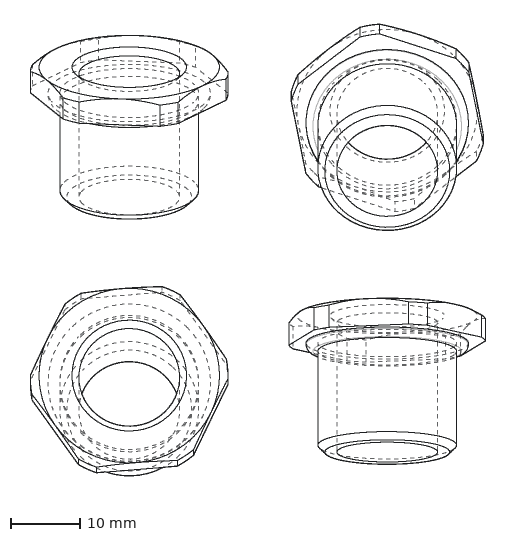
import cadquery as cq
import math

across_flats = 26.0
corner_diameter = 28.5
head_height = 4.0
bevel_angle = 30.0

total_height = 20.0
shank_diameter = 20.0
bore_diameter = 14.5
edge_chamfer = 1.0

ring_diameter = 23.4
ring_height = 1.2
ring_rounding = 1.0

shank_length = total_height - head_height


def make_head():
    """Hexagon with two flats facing +X and -X, trimmed by a bevelled round blank."""
    across_points = across_flats / math.cos(math.radians(30))
    hexagon = (
        cq.Workplane("XY")
        .transformed(rotate=(0, 0, 30))
        .polygon(6, across_points)
        .extrude(head_height)
    )

    corner_radius = corner_diameter / 2
    flat_radius = across_flats / 2
    bevel_drop = (corner_radius - flat_radius) * math.tan(math.radians(bevel_angle))
    blank = (
        cq.Workplane("XZ")
        .polyline([
            (0, 0),
            (corner_radius, 0),
            (corner_radius, head_height - bevel_drop),
            (flat_radius, head_height),
            (0, head_height),
        ])
        .close()
        .revolve(360, (0, 0, 0), (0, 1, 0))
    )
    return hexagon.intersect(blank)


def make_shank():
    """Cylinder below the head with a chamfered lower end."""
    return (
        cq.Workplane("XY")
        .circle(shank_diameter / 2)
        .extrude(-shank_length)
        .faces("<Z")
        .chamfer(edge_chamfer)
    )


def make_bushing():
    """Head and shank with a through bore, chamfered at the head end."""
    bushing = make_head().union(make_shank())
    bore = (
        cq.Workplane("XY")
        .workplane(offset=-shank_length)
        .circle(bore_diameter / 2)
        .extrude(total_height)
    )
    bore_mouth = cq.Workplane(cq.Solid.makeCone(
        bore_diameter / 2,
        bore_diameter / 2 + edge_chamfer,
        edge_chamfer,
        pnt=cq.Vector(0, 0, head_height - edge_chamfer),
    ))
    return bushing.cut(bore).cut(bore_mouth)


def make_sealing_ring():
    """Ring around the shank against the head, rounded on its lower outer edge."""
    return (
        cq.Workplane("XY")
        .circle(ring_diameter / 2)
        .extrude(-ring_height)
        .faces("<Z")
        .edges()
        .fillet(ring_rounding)
        .cut(cq.Workplane("XY").circle(shank_diameter / 2).extrude(-ring_height))
    )


bushing = make_bushing()
sealing_ring = make_sealing_ring()

result = cq.Compound.makeCompound([bushing.val(), sealing_ring.val()])